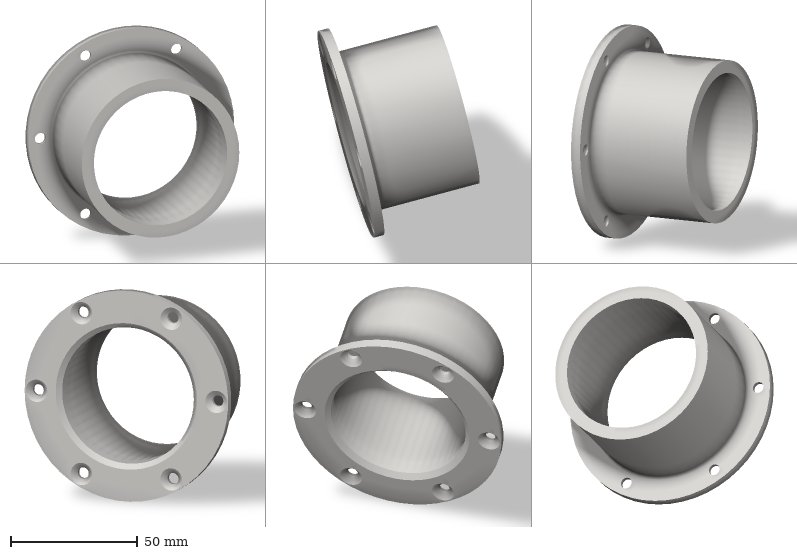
import cadquery as cq

flange_diameter = 85.0
flange_thickness = 4.0
total_length = 46.0
tube_diameter = 65.0
bore_diameter = 55.0
bore_chamfer = 2.0
root_fillet = 1.0

hole_count = 6
bolt_circle_diameter = 75.0
hole_diameter = 4.5
countersink_diameter = 9.0
countersink_angle = 90.0


def make_body():
    """Flange at X = 0 with the tube extending toward +X, filleted at the root."""
    flange = cq.Workplane("YZ").circle(flange_diameter / 2).extrude(flange_thickness)
    body = flange.faces(">X").workplane().circle(tube_diameter / 2).extrude(total_length - flange_thickness)
    root_edge = cq.selectors.RadiusNthSelector(0)
    return body.faces("<X[1]").edges(root_edge).fillet(root_fillet)


def cut_bore(body):
    """Through bore with a chamfered mouth on the flange face."""
    bored = body.faces("<X").workplane().circle(bore_diameter / 2).cutThruAll()
    mouth_edge = cq.selectors.RadiusNthSelector(0)
    return bored.faces("<X").edges(mouth_edge).chamfer(bore_chamfer)


def cut_screw_holes(body):
    """Ring of screw holes countersunk from the flange face, two of them on the Y axis."""
    return (
        body.faces("<X")
        .workplane(origin=(0, 0, 0))
        .polarArray(bolt_circle_diameter / 2, 0, 360, hole_count)
        .cskHole(hole_diameter, countersink_diameter, countersink_angle, depth=flange_thickness)
    )


result = cut_screw_holes(cut_bore(make_body()))